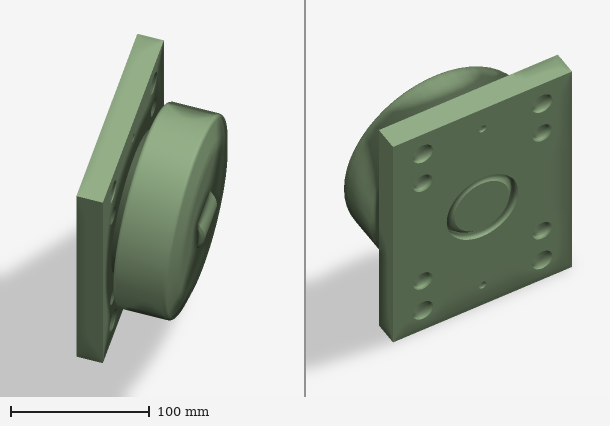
import cadquery as cq
import math

PLATE_THICKNESS = 20.0
PLATE_WIDTH = 150.0
PLATE_HEIGHT = 200.0

HOLE_SIDE_OFFSET = 50.0
MOUNT_HOLE_HEIGHT = 80.0
MOUNT_HOLE_DIAMETER = 17.0
THREAD_HOLE_HEIGHT = 50.0
THREAD_HOLE_DIAMETER = 14.0
THREAD_CHAMFER = 1.0
PIN_HOLE_DIAMETER = 6.5

HUB_RADIUS = 54.2
WHEEL_DIAMETER = 153.8
WHEEL_RADIUS = WHEEL_DIAMETER / 2
WHEEL_BACK = 27.5
WHEEL_FRONT = 73.2
WHEEL_EDGE_RADIUS = 3.0
RIM_ROUND_END = 65.2
CONE_ANGLE = 15.0
FACE_RADIUS = 54.0
FACE_BLEND_RADIUS = 30.0

ROLLER_REACH = 78.5
ROLLER_RADIUS = 24.0
ROLLER_LENGTH = 34.0
ROLLER_CHAMFER = 1.8

SEAT_RADIUS = 30.0
SEAT_DEPTH = 10.0
AXLE_RADIUS = 27.5
AXLE_TIP_RADIUS = 23.0
AXLE_TIP_DEPTH = 1.0
AXLE_CHAMFER_DEPTH = 5.5


def disc(radius, start, length):
    """Cylinder about the X axis."""
    return cq.Workplane("YZ", origin=(start, 0, 0)).circle(radius).extrude(length)


def make_plate():
    plate = cq.Workplane("XY").box(
        PLATE_THICKNESS, PLATE_WIDTH, PLATE_HEIGHT, centered=(False, True, True)
    )
    mount_points = corner_points(HOLE_SIDE_OFFSET, MOUNT_HOLE_HEIGHT)
    thread_points = corner_points(HOLE_SIDE_OFFSET, THREAD_HOLE_HEIGHT)
    pin_points = [(0, -MOUNT_HOLE_HEIGHT), (0, MOUNT_HOLE_HEIGHT)]
    plate = plate.cut(through_holes(mount_points, MOUNT_HOLE_DIAMETER))
    plate = plate.cut(through_holes(pin_points, PIN_HOLE_DIAMETER))
    plate = plate.cut(through_holes(thread_points, THREAD_HOLE_DIAMETER))
    return plate.cut(thread_countersinks(thread_points))


def corner_points(side, height):
    return [(y, z) for y in (-side, side) for z in (-height, height)]


def through_holes(points, diameter):
    return cq.Workplane("YZ").pushPoints(points).circle(diameter / 2).extrude(PLATE_THICKNESS)


def thread_countersinks(points):
    """Cones that widen the threaded holes at the back face."""
    taper_angle = 45
    outer_radius = THREAD_HOLE_DIAMETER / 2 + THREAD_CHAMFER
    return (
        cq.Workplane("YZ").pushPoints(points).circle(outer_radius)
        .extrude(THREAD_CHAMFER, taper=taper_angle)
    )


def make_wheel():
    """Wheel with rounded edges and a conical front that blends into a flat face."""
    slope = math.radians(CONE_ANGLE)
    back_round_end = WHEEL_BACK + WHEEL_EDGE_RADIUS
    rim_round_height = WHEEL_RADIUS - WHEEL_EDGE_RADIUS
    diagonal = WHEEL_EDGE_RADIUS * math.sqrt(0.5)

    def rim_round(angle):
        return (
            RIM_ROUND_END + WHEEL_EDGE_RADIUS * math.sin(angle),
            rim_round_height + WHEEL_EDGE_RADIUS * math.cos(angle),
        )

    def face_blend(angle):
        return (
            WHEEL_FRONT - FACE_BLEND_RADIUS * (1 - math.cos(angle)),
            FACE_RADIUS + FACE_BLEND_RADIUS * math.sin(angle),
        )

    rim_turn = math.pi / 2 - slope
    profile = (
        cq.Workplane("XY")
        .moveTo(WHEEL_BACK, 0)
        .lineTo(WHEEL_BACK, rim_round_height)
        .threePointArc(
            (back_round_end - diagonal, rim_round_height + diagonal),
            (back_round_end, WHEEL_RADIUS),
        )
        .lineTo(RIM_ROUND_END, WHEEL_RADIUS)
        .threePointArc(rim_round(rim_turn / 2), rim_round(rim_turn))
        .lineTo(*face_blend(slope))
        .threePointArc(face_blend(slope / 2), face_blend(0))
        .lineTo(WHEEL_FRONT, 0)
        .close()
    )
    return profile.revolve(360, (0, 0, 0), (1, 0, 0))


def make_roller():
    """Roller with chamfered ends, buried in the wheel up to the part in front of its face."""
    axis_x = ROLLER_REACH - ROLLER_RADIUS
    return (
        cq.Workplane("XZ", origin=(axis_x, 0, 0))
        .circle(ROLLER_RADIUS)
        .extrude(ROLLER_LENGTH / 2, both=True)
        .faces("|Y").edges().chamfer(ROLLER_CHAMFER)
    )


def make_axle_end():
    """Axle end standing in the seat, chamfered down to a smaller tip."""
    profile = (
        cq.Workplane("XY")
        .moveTo(SEAT_DEPTH, 0)
        .lineTo(SEAT_DEPTH, AXLE_RADIUS)
        .lineTo(AXLE_CHAMFER_DEPTH, AXLE_RADIUS)
        .lineTo(AXLE_TIP_DEPTH, AXLE_TIP_RADIUS)
        .lineTo(AXLE_TIP_DEPTH, 0)
        .close()
    )
    return profile.revolve(360, (0, 0, 0), (1, 0, 0))


hub = disc(HUB_RADIUS, PLATE_THICKNESS, WHEEL_BACK - PLATE_THICKNESS)
plate = make_plate().cut(disc(SEAT_RADIUS, 0, SEAT_DEPTH)).union(make_axle_end())
result = plate.union(hub).union(make_wheel()).union(make_roller())